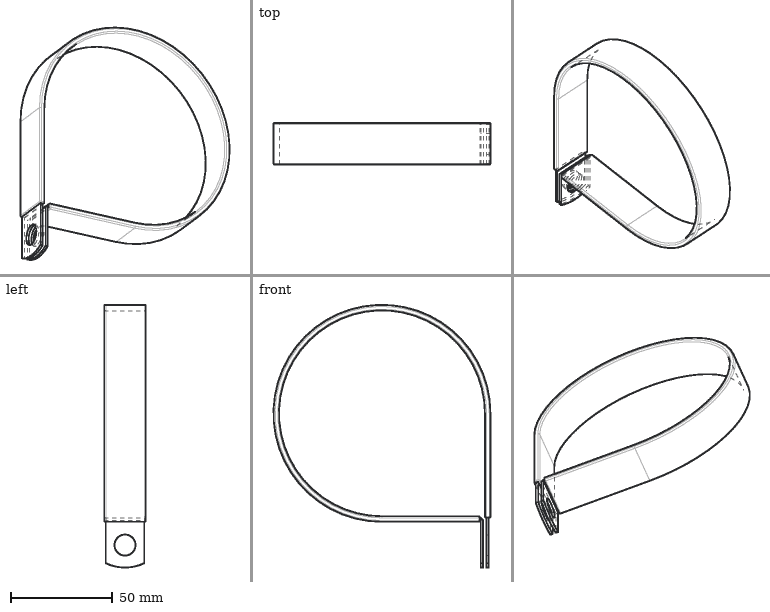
import cadquery as cq
import math

overall_height = 129.8
clamp_width = 20.6
loop_radius = 53.6
cushion_wall = 0.8
band_thickness = 1.3
cushion_corner = 0.75

vertical_end_z = -51.5
horizontal_end_x = 48.3
tab_gap = 1.5
hole_diameter = 10.3
hole_z = -65.0
tip_drop = 2.2

band_width = clamp_width - 2 * cushion_wall
band_outer = loop_radius - cushion_wall
band_inner = band_outer - band_thickness
cushion_inner = band_inner - cushion_wall
tip_z = loop_radius - overall_height
shoulder_z = tip_z + tip_drop
bent_tab_outer = band_inner - tab_gap
bent_tab_inner = bent_tab_outer - band_thickness
loop_middle = (-math.sqrt(0.5), math.sqrt(0.5))


def extrude_across(profile, width):
    """Extrude an XZ profile symmetrically about the Y = 0 plane."""
    return profile.extrude(width / 2, both=True)


def loop_strip(outer, inner, end_x, end_z, width):
    """Three-quarter loop with straight runs down and to the right."""
    profile = (
        cq.Workplane("XZ")
        .moveTo(outer, end_z)
        .lineTo(outer, 0)
        .threePointArc((outer * loop_middle[0], outer * loop_middle[1]), (0, -outer))
        .lineTo(end_x, -outer)
        .lineTo(end_x, -inner)
        .lineTo(0, -inner)
        .threePointArc((inner * loop_middle[0], inner * loop_middle[1]), (inner, 0))
        .lineTo(inner, end_z)
        .close()
    )
    return extrude_across(profile, width)


def cushion():
    """Cushion with rounded sides and rounded ends."""
    body = loop_strip(loop_radius, cushion_inner, horizontal_end_x, vertical_end_z, clamp_width)
    vertical_end = cq.selectors.BoxSelector(
        (cushion_inner - cushion_wall, -clamp_width, vertical_end_z - cushion_wall),
        (loop_radius + cushion_wall, clamp_width, vertical_end_z + cushion_wall),
    )
    horizontal_end = cq.selectors.BoxSelector(
        (horizontal_end_x - cushion_wall, -clamp_width, -loop_radius - cushion_wall),
        (horizontal_end_x + cushion_wall, clamp_width, -cushion_inner + cushion_wall),
    )
    sides = cq.selectors.StringSyntaxSelector("#Y")
    return body.edges(sides + vertical_end + horizontal_end).fillet(cushion_corner)


def bent_tab():
    """Short end of the band turned down, with its outer corner beveled."""
    profile = (
        cq.Workplane("XZ")
        .moveTo(0, -band_inner)
        .lineTo(bent_tab_inner, -band_inner)
        .lineTo(bent_tab_outer, -band_outer)
        .lineTo(bent_tab_outer, tip_z)
        .lineTo(bent_tab_inner, tip_z)
        .lineTo(bent_tab_inner, -band_outer)
        .lineTo(0, -band_outer)
        .close()
    )
    return extrude_across(profile, band_width)


def straight_tab():
    """End of the vertical run continued straight down."""
    profile = (
        cq.Workplane("XZ")
        .moveTo(band_inner, 0)
        .lineTo(band_outer, 0)
        .lineTo(band_outer, tip_z)
        .lineTo(band_inner, tip_z)
        .close()
    )
    return extrude_across(profile, band_width)


def tab_outline():
    """Solid along X that trims both tabs to a curved tip."""
    half_width = band_width / 2
    return (
        cq.Workplane("YZ")
        .moveTo(-half_width, 0)
        .lineTo(-half_width, shoulder_z)
        .threePointArc((0, tip_z), (half_width, shoulder_z))
        .lineTo(half_width, 0)
        .close()
        .extrude(loop_radius)
    )


def bolt_hole():
    """Hole through both tabs."""
    return (
        cq.Workplane("YZ")
        .center(0, hole_z)
        .circle(hole_diameter / 2)
        .extrude(loop_radius)
    )


tabs = bent_tab().union(straight_tab()).intersect(tab_outline())
result = cushion().union(tabs).cut(bolt_hole())